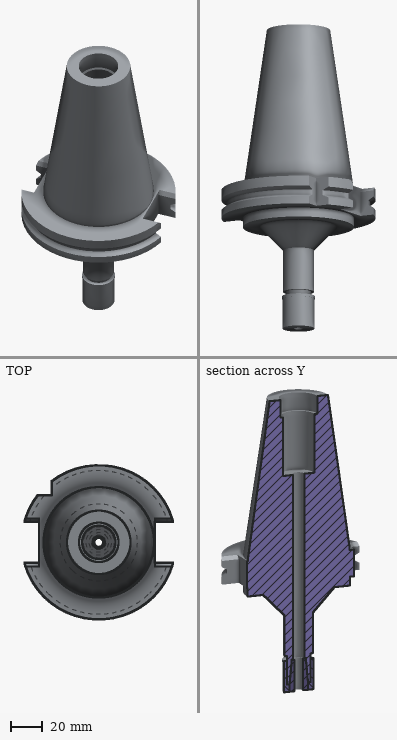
import cadquery as cq
import math


overall_length = 191.8

gauge_radius = 34.9
taper_length = 101.8
taper_per_length = 7 / 24
taper_top_radius = gauge_radius - taper_length * taper_per_length / 2

flange_radius = 48.7
flange_top = -1.2
flange_bottom = -19.0
groove_floor_radius = 45.5
groove_center = -11.0
groove_mouth_width = 6.9
groove_flank_angle = 30
groove_flank_rise = (flange_radius - groove_floor_radius) * math.tan(math.radians(groove_flank_angle))

slot_width = 25.7
slot_chamfer = 2.3
left_slot_floor = 37.8
right_slot_floor = 35.5
notch_offset = 29.7

boss_radius = 35.0
boss_bottom = -24.7
cone_top_radius = 24.4
stem_radius = 9.8
cone_bottom = -39.7
stem_bottom = -66.3
neck_radius = 8.0

pull_stud_bore_radius = 12.5
pull_stud_bore_depth = 11.5
thread_bore_radius = 10.5
thread_bore_depth = 49.9
through_bore_radius = 3.8

nut_bottom = taper_length - overall_length
nut_top = -69.2
nut_collar_radius = 10.4
nut_collar_height = 1.7
nut_radius = 10.2
nut_face_thickness = 4.8
neck_bottom = nut_bottom + nut_face_thickness

collet_face_radius = 6.1
collet_top_radius = 4.6
collet_bore_radius = 2.9
collet_top = -69.0


def revolve(profile):
    """Solid of revolution about Z from (radius, height) points."""
    return cq.Workplane("XZ").polyline(profile).close().revolve(360, (0, 0, 0), (0, 1, 0))


def cylinder(radius, bottom, top):
    return cq.Workplane("XY").workplane(offset=bottom).circle(radius).extrude(top - bottom)


def collet_envelope():
    """Outer shape of the collet: a straight end in the nut face, then a taper up into the neck."""
    return revolve([
        (0, nut_bottom),
        (collet_face_radius, nut_bottom),
        (collet_face_radius, neck_bottom),
        (collet_top_radius, collet_top),
        (0, collet_top),
    ])


def holder_blank():
    """Turned outside of the holder, including the V-groove of the flange."""
    mouth_top = groove_center + groove_mouth_width / 2
    mouth_bottom = groove_center - groove_mouth_width / 2
    return revolve([
        (0, taper_length),
        (taper_top_radius, taper_length),
        (gauge_radius, 0),
        (gauge_radius, flange_top),
        (flange_radius, flange_top),
        (flange_radius, mouth_top),
        (groove_floor_radius, mouth_top - groove_flank_rise),
        (groove_floor_radius, mouth_bottom + groove_flank_rise),
        (flange_radius, mouth_bottom),
        (flange_radius, flange_bottom),
        (boss_radius, flange_bottom),
        (boss_radius, boss_bottom),
        (cone_top_radius, boss_bottom),
        (stem_radius, cone_bottom),
        (stem_radius, stem_bottom),
        (neck_radius, stem_bottom),
        (neck_radius, neck_bottom),
        (0, neck_bottom),
    ])


def drive_slot(floor, side):
    """Cutter for a slot through the flange, with chamfered top edges; side is -1 or +1 along X."""
    half_width = slot_width / 2
    wide_half = half_width + slot_chamfer
    chamfer_bottom = flange_top - slot_chamfer
    profile = [
        (-half_width, flange_bottom),
        (half_width, flange_bottom),
        (half_width, chamfer_bottom),
        (wide_half, flange_top),
        (-wide_half, flange_top),
        (-half_width, chamfer_bottom),
    ]
    slot = cq.Workplane("YZ").workplane(offset=side * floor)
    return slot.polyline(profile).close().extrude(side * flange_radius)


def orientation_notch():
    """Cutter for the square notch in the flange rim at the -X, +Y corner."""
    size = flange_radius - notch_offset
    return (
        cq.Workplane("XY")
        .box(size, size, flange_top - flange_bottom, centered=False)
        .translate((-flange_radius, notch_offset, flange_bottom))
    )


def make_holder():
    holder = holder_blank()
    for floor, side in ((left_slot_floor, -1), (right_slot_floor, 1)):
        holder = holder.cut(drive_slot(floor, side))
    holder = holder.cut(orientation_notch())
    holder = holder.cut(cylinder(pull_stud_bore_radius, taper_length - pull_stud_bore_depth, taper_length))
    holder = holder.cut(cylinder(thread_bore_radius, taper_length - thread_bore_depth, taper_length))
    holder = holder.cut(cylinder(through_bore_radius, neck_bottom, taper_length))
    return holder.cut(collet_envelope())


def make_nut():
    """Nut around the neck, with a slightly wider collar at its top and an opening for the collet."""
    nut = cylinder(nut_radius, nut_bottom, nut_top)
    nut = nut.union(cylinder(nut_collar_radius, nut_top - nut_collar_height, nut_top))
    nut = nut.cut(cylinder(neck_radius, neck_bottom, nut_top))
    return nut.cut(cylinder(collet_face_radius, nut_bottom, neck_bottom))


def make_collet():
    return collet_envelope().cut(cylinder(collet_bore_radius, nut_bottom, collet_top))


holder = make_holder()
nut = make_nut()
collet = make_collet()

result = cq.Compound.makeCompound([
    holder.solids().val(),
    nut.solids().val(),
    collet.solids().val(),
])